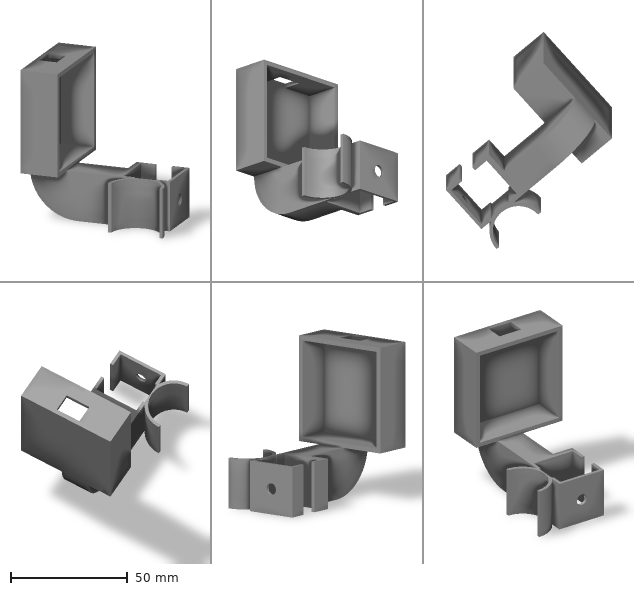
import cadquery as cq

arm_height = 21.95
arm_front = 11.0
arm_back = 24.15

box_length = 17.15
box_width = 44.55
total_height = 68
total_length = 65.3
box_wall = 2.0
window_length = 8.2
window_width = 11.3

channel_left = 40.0
channel_right = 64.3
channel_back = 34.1
left_wall = 2.6
right_wall = 1.4
lip_thickness = 1.4
mouth_left = 49.2
mouth_right = 56.65
recess_width = 10.1
recess_floor = 0.6
screw_hole_diameter = 5.1

clip_outer_radius = 12.5
clip_inner_radius = arm_front
clip_center_x = total_length - clip_outer_radius


def block(x_min, x_max, y_min, y_max, z_min, z_max):
    """Axis-aligned block between the given limits."""
    size = (x_max - x_min, y_max - y_min, z_max - z_min)
    return cq.Workplane("XY").box(*size, centered=False).translate((x_min, y_min, z_min))


def make_box():
    shell = block(0, box_length, 0, box_width, arm_height, total_height)
    cavity = block(
        box_wall, box_length,
        box_wall, box_width - box_wall,
        arm_height + box_wall, total_height - box_wall,
    )
    window = block(
        box_wall, box_wall + window_length,
        (box_width - window_width) / 2, (box_width + window_width) / 2,
        total_height - box_wall, total_height,
    )
    return shell.cut(cavity).cut(window)


def make_arm():
    bar = block(0, channel_left, arm_front, arm_back, 0, arm_height)
    corner = block(0, arm_height, arm_front, arm_back, 0, arm_height)
    rounding = (
        cq.Workplane("XZ", origin=(arm_height, arm_back, arm_height))
        .circle(arm_height)
        .extrude(arm_back - arm_front)
    )
    return bar.cut(corner).union(corner.intersect(rounding))


def make_clip():
    ring = (
        cq.Workplane("XY")
        .center(clip_center_x, 0)
        .circle(clip_outer_radius)
        .circle(clip_inner_radius)
        .extrude(arm_height)
    )
    back_half = block(
        clip_center_x - clip_outer_radius, clip_center_x + clip_outer_radius,
        0, clip_outer_radius,
        0, arm_height,
    )
    return ring.intersect(back_half)


def make_channel():
    return block(channel_left, channel_right, arm_front, channel_back, 0, arm_height)


def make_channel_cuts():
    inner_right = channel_right - right_wall
    inner_back = channel_back - lip_thickness
    bore = block(
        channel_left + left_wall, inner_right,
        clip_outer_radius, inner_back,
        0, arm_height,
    )
    mouth = block(mouth_left, mouth_right, inner_back, channel_back, 0, arm_height)
    recess = block(
        clip_center_x - recess_width / 2, clip_center_x + recess_width / 2,
        arm_front + recess_floor, clip_outer_radius,
        0, arm_height,
    )
    hole_y = (clip_outer_radius + inner_back) / 2
    screw_hole = (
        cq.Workplane("YZ", origin=(inner_right, hole_y, arm_height / 2))
        .circle(screw_hole_diameter / 2)
        .extrude(right_wall)
    )
    return bore.union(mouth).union(recess).union(screw_hole)


holder = make_channel().union(make_clip()).cut(make_channel_cuts())
result = make_box().union(make_arm()).union(holder)